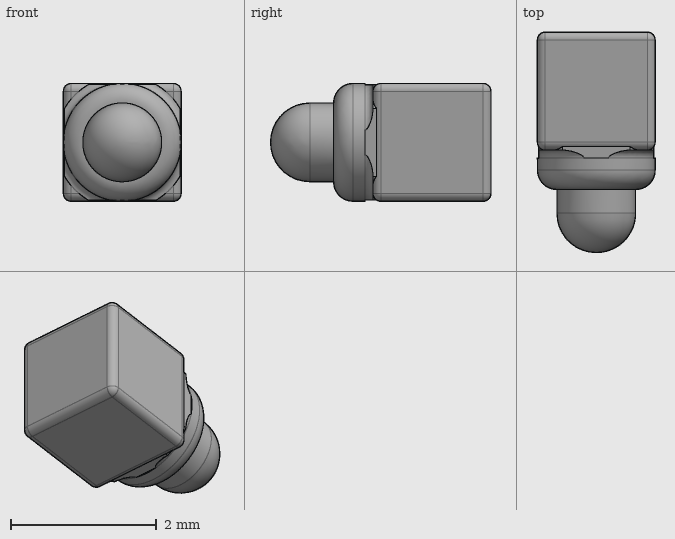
import cadquery as cq
import math

overall_length = 3.03
cube_side = 1.62
blend_radius = 0.11
collar_length = 0.542
pin_radius = 0.542
cove_inset = 0.018

collar_radius = cube_side / 2
collar_round = collar_radius - pin_radius
pin_length = overall_length - cube_side - collar_length
pin_straight = pin_length - pin_radius
cube_front_y = 0.0
collar_front_y = cube_front_y - collar_length
dome_start_y = collar_front_y - pin_straight
tip_y = dome_start_y - pin_radius
diagonal = math.sqrt(0.5)


def revolve_about_y(profile):
    """Turn a closed XY profile a full circle around the Y axis."""
    return profile.close().revolve(360, (0, 0, 0), (0, 1, 0))


def make_cube():
    """Cube with every edge rounded and its front face at cube_front_y."""
    cube = cq.Workplane("XY").box(cube_side, cube_side, cube_side)
    return cube.edges().fillet(blend_radius).translate((0, cube_front_y + cube_side / 2, 0))


def make_collar():
    """Round collar whose rolled front edge runs in to the pin radius."""
    round_start_y = collar_front_y + collar_round
    round_middle = (
        pin_radius + collar_round * diagonal,
        round_start_y - collar_round * diagonal,
    )
    return revolve_about_y(
        cq.Workplane("XY")
        .moveTo(0, cube_front_y)
        .lineTo(0, collar_front_y)
        .lineTo(pin_radius, collar_front_y)
        .threePointArc(round_middle, (collar_radius, round_start_y))
        .lineTo(collar_radius, cube_front_y - blend_radius)
        .lineTo(collar_radius - cove_inset, cube_front_y - blend_radius)
        .lineTo(collar_radius - cove_inset, cube_front_y)
    )


def make_cove():
    """Concave blend from collar to cube, trimmed just inside the cube sides."""
    cove_back_y = cube_front_y + blend_radius
    cove_front_y = cube_front_y - blend_radius
    outer_radius = collar_radius + blend_radius
    cove_middle = (
        outer_radius - blend_radius * diagonal,
        cove_front_y + blend_radius * diagonal,
    )
    flare = revolve_about_y(
        cq.Workplane("XY")
        .moveTo(0, cove_back_y)
        .lineTo(0, cove_front_y)
        .lineTo(collar_radius, cove_front_y)
        .threePointArc(cove_middle, (outer_radius, cube_front_y))
        .lineTo(outer_radius, cove_back_y)
    )
    trim_side = cube_side - 2 * cove_inset
    trim = cq.Workplane("XY").box(trim_side, 2 * blend_radius, trim_side)
    return flare.intersect(trim.translate((0, cube_front_y, 0)))


def make_housing():
    """Cube, cove and collar joined as one solid."""
    return make_cube().union(make_cove()).union(make_collar()).solids()


def make_pin():
    """Straight pin with a hemispherical tip, seated on the collar front."""
    dome_middle = (pin_radius * diagonal, dome_start_y - pin_radius * diagonal)
    return revolve_about_y(
        cq.Workplane("XY")
        .moveTo(0, collar_front_y)
        .lineTo(pin_radius, collar_front_y)
        .lineTo(pin_radius, dome_start_y)
        .threePointArc(dome_middle, (0, tip_y))
    )


housing = make_housing()
pin = make_pin()

result = cq.Compound.makeCompound([housing.val(), pin.val()])